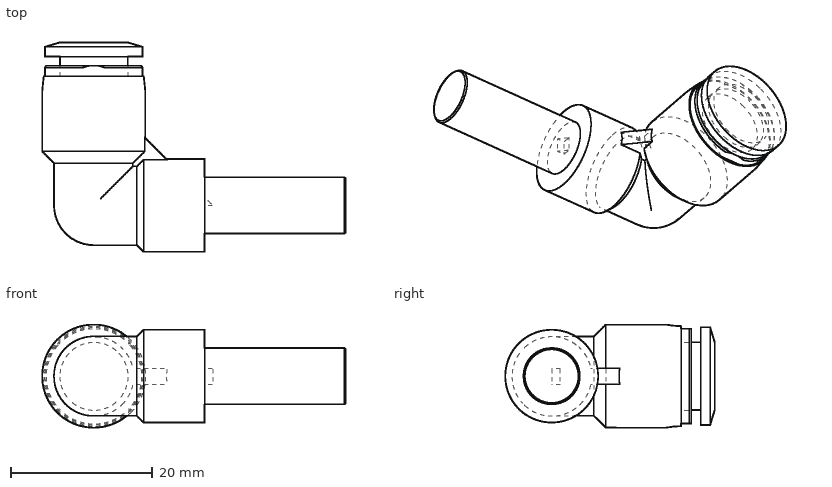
import cadquery as cq


neck_radius = 5.65

socket_radius = 7.3
socket_cone_start = 6.0
socket_cone_end = socket_cone_start + socket_radius - neck_radius
socket_taper_start = 16.25
socket_end = 18.35
socket_mouth_radius = 7.1

collar_radius = 6.6
collar_cone_start = 6.1
collar_cone_end = collar_cone_start + collar_radius - neck_radius
collar_end = 15.7

gusset_leg = 16.9
gusset_thickness = 2.25

ring_radius = 6.95
ring_end = 19.8
ring_chamfer_length = 0.3
ring_chamfer_depth = 0.17
ring_flat_width = 3.25
ring_flat_height = (ring_radius**2 - (ring_flat_width / 2) ** 2) ** 0.5

button_radius = 6.95
button_neck_radius = 4.82
flange_start = 21.1
flange_edge = 22.48
button_tip = 23.12

stem_radius = 4.0
overall_length = 43.05
stem_end = overall_length - socket_radius
stem_chamfer = 0.2


def turned_about_y(profile):
    """Solid of revolution about Y from (radius, y) points."""
    return cq.Workplane("XY").polyline(profile).close().revolve(360, (0, 0, 0), (0, 1, 0))


def turned_about_x(profile):
    """Solid of revolution about X from (x, radius) points."""
    return cq.Workplane("XY").polyline(profile).close().revolve(360, (0, 0, 0), (1, 0, 0))


def make_housing():
    corner_ball = cq.Workplane("XY").sphere(neck_radius)
    socket_arm = turned_about_y([
        (0, 0),
        (neck_radius, 0),
        (neck_radius, socket_cone_start),
        (socket_radius, socket_cone_end),
        (socket_radius, socket_taper_start),
        (socket_mouth_radius, socket_end),
        (0, socket_end),
    ])
    stem_arm = turned_about_x([
        (0, 0),
        (0, neck_radius),
        (collar_cone_start, neck_radius),
        (collar_cone_end, collar_radius),
        (collar_end, collar_radius),
        (collar_end, 0),
    ])
    gusset = (
        cq.Workplane("XY")
        .polyline([(0, 0), (gusset_leg, 0), (0, gusset_leg)])
        .close()
        .extrude(gusset_thickness / 2, both=True)
    )
    return socket_arm.union(stem_arm).union(corner_ball).union(gusset)


def make_guide_ring():
    ring = turned_about_y([
        (button_neck_radius, socket_end),
        (ring_radius, socket_end),
        (ring_radius, ring_end - ring_chamfer_length),
        (ring_radius - ring_chamfer_depth, ring_end),
        (button_neck_radius, ring_end),
    ])
    flats = cq.Workplane("XY").box(2 * ring_radius, 2 * ring_end, 2 * ring_flat_height)
    return ring.intersect(flats)


def make_release_button():
    return turned_about_y([
        (0, socket_end),
        (button_neck_radius, socket_end),
        (button_neck_radius, flange_start),
        (button_radius, flange_start),
        (button_radius, flange_edge),
        (button_neck_radius, button_tip),
        (0, button_tip),
    ])


def make_stem():
    return turned_about_x([
        (collar_end, 0),
        (collar_end, stem_radius),
        (stem_end - stem_chamfer, stem_radius),
        (stem_end, stem_radius - stem_chamfer),
        (stem_end, 0),
    ])


housing = make_housing()
guide_ring = make_guide_ring()
release_button = make_release_button()
stem = make_stem()

result = cq.Compound.makeCompound([
    housing.val(),
    guide_ring.val(),
    release_button.val(),
    stem.val(),
])